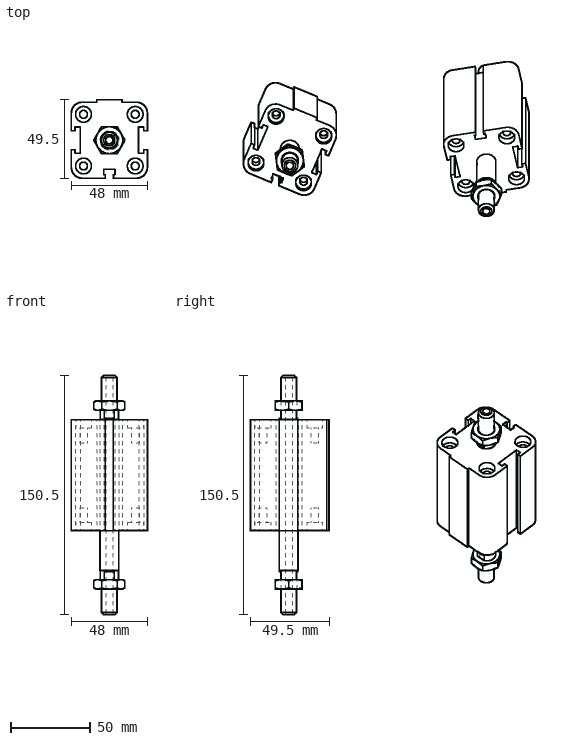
import cadquery as cq
import math


housing_width = 48.0
housing_height = 70.0
corner_radius = 7.0
pad_width = 16.0
pad_rise = 1.5

slot_lip = 2.4
slot_depth = 5.5
side_slot_mouth = 11.7
side_slot_width = 16.4
front_slot_mouth = 5.0
front_slot_width = 6.9

mount_spacing = 32.5
mount_hole_diameter = 5.0
mount_hole_depth = 14.6
counterbore_diameter = 10.0
counterbore_depth = 5.3

rod_diameter = 12.0
rod_bore_diameter = 4.5
stroke = 25.0
neck_diameter = 11.7
shoulder_chamfer = (rod_diameter - neck_diameter) / 2
neck_length = 5.7
flat_start = 0.9
flat_width = 10.0
thread_diameter = 10.0
rod_length = 150.5
thread_end = (rod_length - housing_height - stroke) / 2
thread_chamfer = 1.43

nut_sides = 6
nut_width = 17.0
nut_thickness = 6.0
nut_face_diameter = 16.9
nut_chamfer_angle = 30.0
nut_countersink_diameter = 10.8


def t_slot(mouth, width):
    """T-slot cutter that opens through the -Y side over the full height."""
    side = -housing_width / 2
    neck = cq.Workplane("XY").box(mouth, slot_depth, housing_height, centered=(True, False, False))
    undercut = (
        cq.Workplane("XY")
        .box(width, slot_depth - slot_lip, housing_height, centered=(True, False, False))
        .translate((0, slot_lip, 0))
    )
    return neck.union(undercut).translate((0, side, 0))


def mounting_holes():
    """Counterbored blind holes in the upper end face."""
    pattern = (
        cq.Workplane("XY")
        .workplane(offset=housing_height)
        .rect(mount_spacing, mount_spacing, forConstruction=True)
        .vertices()
    )
    holes = pattern.circle(mount_hole_diameter / 2).extrude(-mount_hole_depth)
    counterbores = pattern.circle(counterbore_diameter / 2).extrude(-counterbore_depth)
    return holes.union(counterbores)


def make_housing():
    """Extruded body with pad, T-slots, mounting holes and a bore for the rod."""
    body = (
        cq.Workplane("XY")
        .rect(housing_width, housing_width)
        .extrude(housing_height)
        .edges("|Z")
        .fillet(corner_radius)
    )
    pad_reach = housing_width / 2 + pad_rise
    pad = cq.Workplane("XY").box(pad_width, pad_reach, housing_height, centered=(True, False, False))
    body = body.union(pad)

    body = body.cut(t_slot(front_slot_mouth, front_slot_width))
    for angle in (-90, 90):
        side_slot = t_slot(side_slot_mouth, side_slot_width).rotate((0, 0, 0), (0, 0, 1), angle)
        body = body.cut(side_slot)

    upper_holes = mounting_holes()
    lower_holes = upper_holes.mirror("XY").translate((0, 0, housing_height))
    body = body.cut(upper_holes).cut(lower_holes)

    rod_bore = cq.Workplane("XY").circle(rod_diameter / 2).extrude(housing_height)
    return body.cut(rod_bore)


def rod_end():
    """Neck with two wrench flats and a chamfered thread; Z = 0 is where the full diameter ends."""
    neck = cq.Workplane("XY").circle(neck_diameter / 2).extrude(neck_length)
    flat_height = neck_length - flat_start
    for side in (-1, 1):
        flat = (
            cq.Workplane("XY")
            .box(neck_diameter, neck_diameter, flat_height, centered=(True, True, False))
            .translate((0, side * (flat_width + neck_diameter) / 2, flat_start))
        )
        neck = neck.cut(flat)

    thread = (
        cq.Workplane("XY")
        .workplane(offset=neck_length)
        .circle(thread_diameter / 2)
        .extrude(thread_end - neck_length)
        .faces(">Z")
        .chamfer(thread_chamfer)
    )
    return neck.union(thread)


def at_upper_end(shape):
    """Move a shape built on Z = 0 to the upper end of the rod."""
    return shape.translate((0, 0, housing_height))


def at_lower_end(shape):
    """Flip a shape built on Z = 0 and move it to the lower, extended end of the rod."""
    return shape.mirror("XY").translate((0, 0, -stroke))


def make_rod():
    """Hollow rod through the housing with the same end at the top and bottom."""
    shaft = (
        cq.Workplane("XY")
        .workplane(offset=-stroke - shoulder_chamfer)
        .circle(rod_diameter / 2)
        .extrude(housing_height + stroke + 2 * shoulder_chamfer)
        .faces("|Z")
        .chamfer(shoulder_chamfer)
    )
    rod = shaft.union(at_upper_end(rod_end())).union(at_lower_end(rod_end()))
    bore = (
        cq.Workplane("XY")
        .workplane(offset=-stroke - thread_end)
        .circle(rod_bore_diameter / 2)
        .extrude(rod_length)
    )
    return rod.cut(bore)


def make_nut():
    """Hexagon nut, corners on the X axis, chamfered at both faces and countersunk at the far face."""
    hexagon_diameter = nut_width / math.cos(math.pi / nut_sides)
    hexagon = cq.Workplane("XY").polygon(nut_sides, hexagon_diameter).extrude(nut_thickness)

    face_radius = nut_face_diameter / 2
    corner_reach = hexagon_diameter / 2
    chamfer_height = (corner_reach - face_radius) * math.tan(math.radians(nut_chamfer_angle))
    envelope = (
        cq.Workplane("XZ")
        .moveTo(0, 0)
        .lineTo(face_radius, 0)
        .lineTo(corner_reach, chamfer_height)
        .lineTo(corner_reach, nut_thickness - chamfer_height)
        .lineTo(face_radius, nut_thickness)
        .lineTo(0, nut_thickness)
        .close()
        .revolve(360, (0, 0, 0), (0, 1, 0))
    )
    countersink_depth = (nut_countersink_diameter - thread_diameter) / 2
    nut = (
        hexagon.intersect(envelope)
        .faces(">Z")
        .workplane(origin=(0, 0, nut_thickness))
        .hole(thread_diameter)
        .faces(">Z")
        .edges("%CIRCLE")
        .edges(cq.selectors.RadiusNthSelector(0))
        .chamfer(countersink_depth)
    )
    return nut.translate((0, 0, neck_length))


housing = make_housing()
rod = make_rod()
nuts = [place(make_nut()) for place in (at_upper_end, at_lower_end)]

result = cq.Compound.makeCompound([housing.val(), rod.val(), *[nut.val() for nut in nuts]])